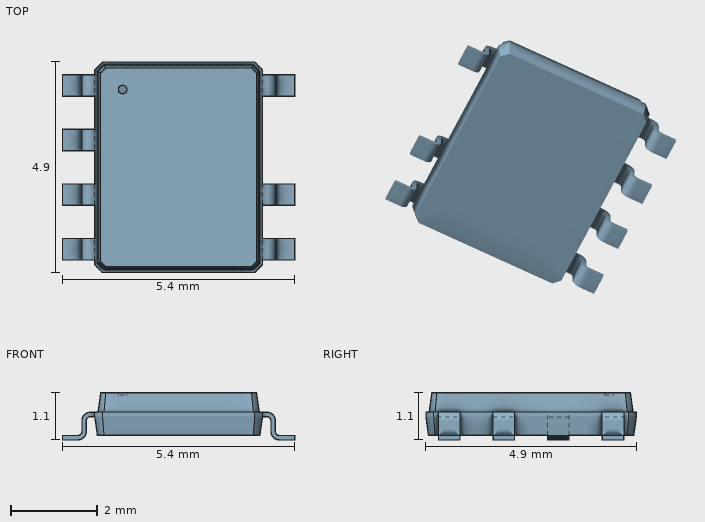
import cadquery as cq
import math

overall_length = 5.4
overall_height = 1.1
sheet = 0.11

band_length_x = 3.905
band_length_y = 4.9
band_chamfer = 0.185
bottom_chamfer = 0.155
ledge_chamfer = 0.14
top_chamfer = 0.12
band_bottom = 0.54
band_top = band_bottom + sheet
body_bottom = sheet
ledge = 0.075
draft_angle = 8.0

mark_diameter = 0.2
mark_depth = 0.055
mark_x = -1.3
mark_y = 1.81

lead_width = 0.5
lead_pitch = 1.27
lead_outer_x = 2.25
lead_embed = 0.16
bend_inner = 0.09
bend_outer = bend_inner + sheet
middle_row = 1.5
left_rows = (0, 1, 2, 3)
right_rows = (0, 2, 3)


def body_outline(inset, leg):
    """Points of the band rectangle moved in by the inset, its corners cut by the leg."""
    half_x = band_length_x / 2 - inset
    half_y = band_length_y / 2 - inset
    return [
        (half_x - leg, half_y),
        (half_x, half_y - leg),
        (half_x, leg - half_y),
        (half_x - leg, -half_y),
        (leg - half_x, -half_y),
        (-half_x, leg - half_y),
        (-half_x, half_y - leg),
        (leg - half_x, half_y),
    ]


def body_section(z_start, z_end, start, end):
    """Straight-sided loft between two outlines, each given as (inset, leg)."""
    return (
        cq.Workplane("XY", origin=(0, 0, z_start))
        .polyline(body_outline(*start)).close()
        .workplane(offset=z_end - z_start)
        .polyline(body_outline(*end)).close()
        .loft(ruled=True)
    )


def make_body():
    """Lower half, parting band and narrower upper half, with the pin 1 mark."""
    slope = math.tan(math.radians(draft_angle))
    lower_inset = (band_bottom - body_bottom) * slope
    upper_inset = ledge + (overall_height - band_top) * slope
    band_edge = (0, band_chamfer)
    lower = body_section(body_bottom, band_bottom, (lower_inset, bottom_chamfer), band_edge)
    band = body_section(band_bottom, band_top, band_edge, band_edge)
    upper = body_section(band_top, overall_height, (ledge, ledge_chamfer), (upper_inset, top_chamfer))
    mark = (
        cq.Workplane("XY", origin=(mark_x, mark_y, overall_height - mark_depth))
        .circle(mark_diameter / 2)
        .extrude(mark_depth)
    )
    return lower.union(band).union(upper).cut(mark)


def make_lead(side, row):
    """Gull-wing lead: side is -1 or +1 along X, row counts down from +Y."""
    tip = overall_length / 2
    lead_inner_x = lead_outer_x - sheet
    root = band_length_x / 2 - lead_embed
    centre_y = (middle_row - row) * lead_pitch

    def at(x, z):
        return (side * x, z)

    def bend_point(x, z, radius, x_sign, z_sign):
        reach = radius * math.sqrt(0.5)
        return at(x + x_sign * reach, z + z_sign * reach)

    upper_x = lead_outer_x - bend_outer
    upper_z = band_top - bend_outer
    foot_x = lead_inner_x + bend_outer
    foot_z = bend_outer
    return (
        cq.Workplane("XZ", origin=(0, centre_y + lead_width / 2, 0))
        .moveTo(*at(root, band_top))
        .lineTo(*at(upper_x, band_top))
        .threePointArc(bend_point(upper_x, upper_z, bend_outer, 1, 1), at(lead_outer_x, upper_z))
        .lineTo(*at(lead_outer_x, foot_z))
        .threePointArc(bend_point(foot_x, foot_z, bend_inner, -1, -1), at(foot_x, sheet))
        .lineTo(*at(tip, sheet))
        .lineTo(*at(tip, 0))
        .lineTo(*at(foot_x, 0))
        .threePointArc(bend_point(foot_x, foot_z, bend_outer, -1, -1), at(lead_inner_x, foot_z))
        .lineTo(*at(lead_inner_x, upper_z))
        .threePointArc(bend_point(upper_x, upper_z, bend_inner, 1, 1), at(upper_x, band_bottom))
        .lineTo(*at(root, band_bottom))
        .close()
        .extrude(lead_width)
    )


result = make_body()
for side, rows in ((-1, left_rows), (1, right_rows)):
    for row in rows:
        result = result.union(make_lead(side, row))